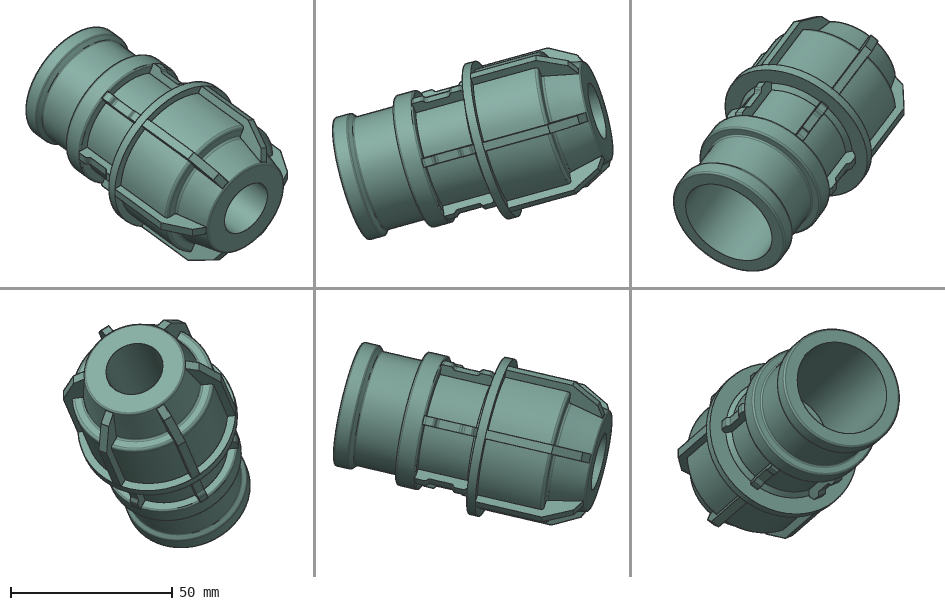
import cadquery as cq

total_length = 80.0
lip_end = 5.0
neck_start = 6.4
collar_start = 20.3
collar_end = 26.9
shoulder_start = 42.8
flange_start = 44.3
flange_end = 47.1
barrel_end = 68.2
taper_start = 69.0

lip_radius = 39.4 / 2
neck_radius = 36.3 / 2
body_radius = 18.2
collar_radius = 42.4 / 2
shoulder_radius = 19.7
flange_radius = 50.0 / 2
barrel_radius = 22.5
taper_large_radius = 18.6
tip_radius = 15.9

socket_radius = 30.3 / 2
socket_depth = flange_start
bore_radius = 18.0 / 2

lip_fillet = 0.6
collar_fillet = 0.6
root_fillet = 0.5
barrel_fillet = 1.0
taper_root_fillet = 0.6
tip_fillet = 0.6

edge_tolerance = 0.04

rib_count = 6
rib_width = 2.8
rib_root_radius = 14.4

body_rib_radius = 21.8
body_rib_low_radius = 20.7
body_rib_end_radius = 20.2
saddle_start = 30.2
saddle_end = 39.4
saddle_ramp = 0.8
body_rib_corner_fillet = 0.8
body_rib_bevel_start = 42.6

nut_rib_bend = 68.5
nut_rib_nose = 77.3
nut_rib_nose_radius = 19.9
nut_rib_end = total_length - tip_fillet


def revolved(points):
    """Solid of revolution about X from (x, radius) points."""
    outline = [(points[0][0], 0)] + points + [(points[-1][0], 0)]
    return cq.Workplane("XY").polyline(outline).close().revolve(360, (0, 0, 0), (1, 0, 0))


def circle_edge(solid, x, radius):
    """The circular edge of the given radius centred on the X axis at x."""
    return solid.edges("%CIRCLE").filter(
        lambda edge: abs(edge.Center().x - x) < edge_tolerance
        and abs(edge.radius() - radius) < edge_tolerance
    )


def make_body():
    body = revolved([
        (0, lip_radius),
        (lip_end, lip_radius),
        (neck_start, neck_radius),
        (collar_start, neck_radius),
        (collar_start, collar_radius),
        (collar_end, collar_radius),
        (collar_end, body_radius),
        (shoulder_start, body_radius),
        (flange_start, shoulder_radius),
        (flange_start, flange_radius),
        (flange_end, flange_radius),
        (flange_end, barrel_radius),
        (barrel_end, barrel_radius),
        (barrel_end, taper_large_radius),
        (taper_start, taper_large_radius),
        (total_length, tip_radius),
    ])
    rounded_edges = [
        (0, lip_radius, lip_fillet),
        (lip_end, lip_radius, lip_fillet),
        (neck_start, neck_radius, root_fillet),
        (collar_start, neck_radius, root_fillet),
        (collar_start, collar_radius, collar_fillet),
        (collar_end, collar_radius, collar_fillet),
        (barrel_end, barrel_radius, barrel_fillet),
        (barrel_end, taper_large_radius, taper_root_fillet),
        (total_length, tip_radius, tip_fillet),
    ]
    for x, radius, fillet in rounded_edges:
        body = circle_edge(body, x, radius).fillet(fillet)
    return body


def rib(points):
    """One rib at +Y, extruded symmetrically about Z = 0."""
    return cq.Workplane("XY").polyline(points).close().extrude(rib_width / 2, both=True)


def make_body_rib():
    saddle_floor_start = saddle_start + saddle_ramp
    saddle_floor_end = saddle_end - saddle_ramp
    corners = [
        (collar_end, body_rib_radius),
        (saddle_start, body_rib_radius),
        (saddle_floor_start, body_rib_low_radius),
        (saddle_floor_end, body_rib_low_radius),
        (saddle_end, body_rib_radius),
        (body_rib_bevel_start, body_rib_radius),
    ]
    blank = rib([
        (collar_end - collar_fillet, rib_root_radius),
        (collar_end - collar_fillet, body_rib_low_radius),
        *corners,
        (flange_start, body_rib_end_radius),
        (flange_start, rib_root_radius),
    ])
    for x, radius in corners:
        corner_edge = cq.selectors.NearestToPointSelector((x, radius, 0))
        blank = blank.edges("|Z").edges(corner_edge).fillet(body_rib_corner_fillet)
    return blank


def make_nut_rib():
    return rib([
        (flange_end, rib_root_radius),
        (flange_end, flange_radius),
        (nut_rib_bend, flange_radius),
        (nut_rib_nose, nut_rib_nose_radius),
        (nut_rib_end, tip_radius),
        (nut_rib_end, rib_root_radius),
    ])


def add_ribs(solid, single_rib):
    for index in range(rib_count):
        angle = index * 360 / rib_count
        solid = solid.union(single_rib.rotate((0, 0, 0), (1, 0, 0), angle))
    return solid


def cut_bores(solid):
    socket = cq.Workplane("YZ").circle(socket_radius).extrude(socket_depth)
    bore = cq.Workplane("YZ").circle(bore_radius).extrude(total_length)
    return solid.cut(socket).cut(bore)


result = make_body()
result = add_ribs(result, make_body_rib())
result = add_ribs(result, make_nut_rib())
result = cut_bores(result)